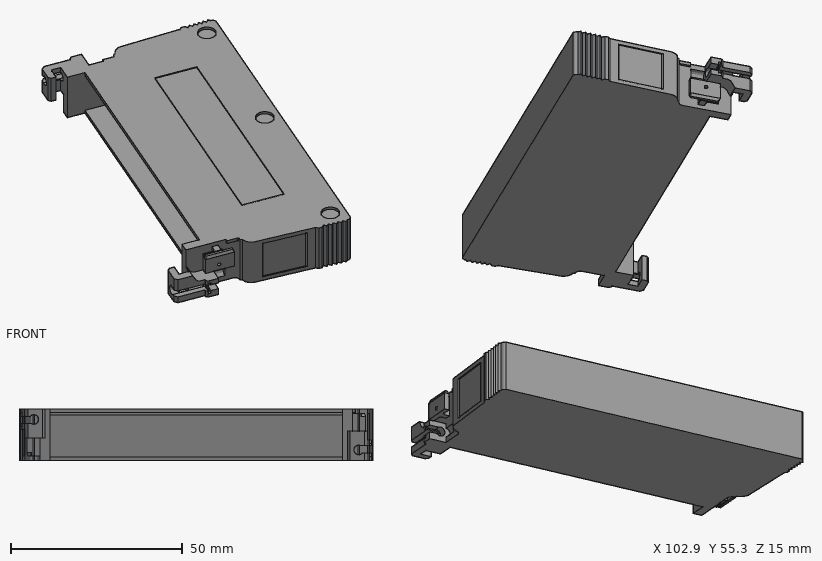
import cadquery as cq
import math

length = 102.9
depth = 55.3
height = 15.0
half_length = length / 2
mid_height = height / 2

corner_start = (-49.9, depth)
corner_mid = (-50.56, 54.8)
corner_end = (-50.8, 54.0)
tooth_count = 5
tooth_pitch = 1.49
tooth_depth = 0.8
tooth_lean = 0.06
first_tip_y = 53.4
grip_end_y = 44.9
flank_top = (-50.5, 44.1)
flank_bottom = (-49.8, 25.7)
shoulder_mid = (-49.2, 23.6)
shoulder_end = (-47.4, 22.3)
neck_radius = 1.5
neck_top_y = 21.7
wall_x = -45.5
lip_x = -46.2
lip_y_range = (17.9, 21.4)
lip_thickness = 1.0

cavity_half_length = 42.6
wall_front_y = 5.2
plate_front_y = 10.8
bottom_thickness = 1.0
top_thickness = 1.1
back_thickness = 1.1
ledge_size = 0.7

label_length = 64.8
label_width = 13.3
label_center = (0, 35.2)
label_recess = 0.3
grip_y_range = (27.6, 41.6)
grip_taper = 0.4
grip_margin = 1.3
grip_recess = 0.4
dome_diameter = 5.5
dome_height = 0.8
dome_y = 50.7
dome_positions_x = (-45.9, -2.8, 45.9)

head_x = -50.9
ear_back_y = 13.3
head_front_y = 10.0
hook_x = -49.9
head_chamfer = 0.6
hook_slot_x = -47.5
hook_tip_x = -43.9
hook_thickness = 2.3
hook_chamfer = 0.9
tip_chamfer = 0.7
head_bottom_z = 9.1
hook_bottom_z = 6.5
slope_front_y = 5.6
slope_angle = math.radians(60)
slope_radius = 1.9

channel_diameter = 2.8
channel_slot_z = (10.7, 12.9)
channel_x = -47.2
channel_z = 11.9
wall_groove_end_y = 17.6
ring_diameter = 3.8
ring_slot_z = (10.1, 13.8)
ring_y_range = (10.1, 10.9)

tab_x_range = (-49.3, -47.8)
tab_y_range = (9.9, 19.0)
tab_z_range = (1.3, 7.4)
tab_root_x = -47.5
arm_y_range = (13.5, 15.4)
arm_fillet = 0.5
tab_chamfer_width = 0.36
tab_chamfer_height = 0.9
tab_hole_diameter = 1.0
tab_hole_y = 14.2
tab_hole_z = 5.3


def box(x_range, y_range, z_range):
    """Axis-aligned box between the given limits."""
    (x0, x1), (y0, y1), (z0, z1) = x_range, y_range, z_range
    return cq.Workplane("XY").box(x1 - x0, y1 - y0, z1 - z0, centered=False).translate((x0, y0, z0))


def both_ends(shape):
    """Join a left-end shape with its copy turned half a turn about the part's long mid-axis in Y."""
    turned = shape.rotate((0, 0, mid_height), (0, 1, mid_height), 180)
    return shape.union(turned)


def mirrored(shape):
    """Join a left-end shape with its mirror image on the right end."""
    return shape.union(shape.mirror("YZ"))


def flank_x(y):
    """Place in X of the slightly tapered left flank at a given Y."""
    taper = (flank_top[0] - flank_bottom[0]) / (flank_top[1] - flank_bottom[1])
    return flank_bottom[0] + taper * (y - flank_bottom[1])


def make_half_hood():
    """Left half of the hood as a solid block."""
    outline = cq.Workplane("XY").moveTo(0, depth).lineTo(*corner_start)
    outline = outline.threePointArc(corner_mid, corner_end).lineTo(-half_length, first_tip_y)
    for i in range(tooth_count):
        tip_x = -half_length + i * tooth_lean
        tip_y = first_tip_y - i * tooth_pitch
        outline = outline.lineTo(tip_x + tooth_depth, tip_y - tooth_pitch / 2)
        outline = outline.lineTo(tip_x + tooth_lean, tip_y - tooth_pitch)
    neck_x = wall_x - neck_radius
    neck_reach = neck_radius * math.sqrt(0.5)
    neck_center_y = neck_top_y - neck_radius
    outline = (
        outline.lineTo(-half_length + tooth_count * tooth_lean, grip_end_y)
        .lineTo(*flank_top)
        .lineTo(*flank_bottom)
        .threePointArc(shoulder_mid, shoulder_end)
        .lineTo(neck_x, neck_top_y)
        .threePointArc((neck_x + neck_reach, neck_center_y + neck_reach), (wall_x, neck_center_y))
        .lineTo(wall_x, wall_front_y)
        .lineTo(-cavity_half_length, wall_front_y)
        .lineTo(-cavity_half_length, plate_front_y)
        .lineTo(0, plate_front_y)
        .close()
    )
    lip = (
        cq.Workplane("XY", origin=(0, 0, height - lip_thickness))
        .moveTo(*shoulder_end)
        .lineTo(lip_x - (shoulder_end[1] - lip_y_range[1]), shoulder_end[1])
        .lineTo(lip_x, lip_y_range[1])
        .lineTo(lip_x, lip_y_range[0])
        .lineTo(-cavity_half_length, lip_y_range[0])
        .lineTo(-cavity_half_length, shoulder_end[1])
        .close()
        .extrude(lip_thickness)
    )
    return outline.extrude(height).union(lip)


def make_cavity():
    """Front-opening cavity with a small ledge where the back wall meets the top plate."""
    back_y = depth - back_thickness
    roof_z = height - top_thickness
    x_range = (-cavity_half_length, cavity_half_length)
    space = box(x_range, (0, back_y), (bottom_thickness, roof_z))
    ledge = box(x_range, (back_y - ledge_size, back_y), (roof_z - ledge_size, roof_z))
    return space.cut(ledge)


def make_label_recess():
    return (
        cq.Workplane("XY", origin=(*label_center, height - label_recess))
        .rect(label_length, label_width)
        .extrude(label_recess)
    )


def make_grip_recess():
    """Side recess with a floor parallel to the flank and two upright ends that slope in to it."""
    y0, y1 = grip_y_range
    floor_y0 = y0 + grip_taper
    floor_y1 = y1 - grip_taper
    outer_x = -half_length
    return (
        cq.Workplane("XY", origin=(0, 0, grip_margin))
        .polyline([
            (outer_x, y0),
            (flank_x(y0), y0),
            (flank_x(floor_y0) + grip_recess, floor_y0),
            (flank_x(floor_y1) + grip_recess, floor_y1),
            (flank_x(y1), y1),
            (outer_x, y1),
        ])
        .close()
        .extrude(height - 2 * grip_margin)
    )


def make_dome_trough(x):
    """Ring-shaped trough that leaves a spherical dome level with the top face."""
    radius = dome_diameter / 2
    sphere_radius = (radius**2 + dome_height**2) / (2 * dome_height)
    pocket = (
        cq.Workplane("XY", origin=(x, dome_y, height - dome_height))
        .circle(radius)
        .extrude(dome_height)
    )
    ball = cq.Workplane("XY").sphere(sphere_radius).translate((x, dome_y, height - sphere_radius))
    return pocket.cut(ball)


def make_open_bore(diameter, slot_z_range, x, y_range):
    """Round bore along Y, joined by a straight slot to the outer side of the left end."""
    y0, y1 = y_range
    bore = cq.Workplane("XZ", origin=(x, y0, channel_z)).circle(diameter / 2).extrude(y0 - y1)
    slot = box((-half_length, x), y_range, slot_z_range)
    return bore.union(slot)


def make_ear():
    """Head block with a hook in front of it, cut to a stepped underside."""
    plan = (
        cq.Workplane("XY")
        .polyline([
            (-cavity_half_length, ear_back_y),
            (head_x, ear_back_y),
            (head_x, head_front_y),
            (head_x + head_chamfer, head_front_y - head_chamfer),
            (hook_x, head_front_y - head_chamfer),
            (hook_x, hook_chamfer),
            (hook_x + hook_chamfer, 0),
            (hook_tip_x - tip_chamfer, 0),
            (hook_tip_x, tip_chamfer),
            (hook_tip_x, hook_thickness),
            (hook_slot_x, hook_thickness),
            (hook_slot_x, wall_front_y),
            (-cavity_half_length, wall_front_y),
        ])
        .close()
        .extrude(height)
    )
    arc_drop = slope_radius * (1 - math.cos(slope_angle))
    arc_front_z = head_bottom_z - arc_drop
    arc_front_y = slope_front_y + (arc_front_z - hook_bottom_z) / math.tan(slope_angle)
    arc_back_y = arc_front_y + slope_radius * math.sin(slope_angle)
    arc_mid_y = arc_back_y - slope_radius * math.sin(slope_angle / 2)
    arc_mid_z = head_bottom_z - slope_radius * (1 - math.cos(slope_angle / 2))
    side = (
        cq.Workplane("YZ", origin=(-half_length, 0, 0))
        .moveTo(0, height)
        .lineTo(0, hook_bottom_z)
        .lineTo(slope_front_y, hook_bottom_z)
        .lineTo(arc_front_y, arc_front_z)
        .threePointArc((arc_mid_y, arc_mid_z), (arc_back_y, head_bottom_z))
        .lineTo(ear_back_y, head_bottom_z)
        .lineTo(ear_back_y, height)
        .close()
        .extrude(half_length - cavity_half_length)
    )
    return plan.intersect(side)


def make_tab():
    """Upright latch tab carried on a short arm from the end wall."""
    x0, x1 = tab_x_range
    y0 = tab_y_range[0]
    z0, z1 = tab_z_range
    arm_y0, arm_y1 = arm_y_range
    plate = box(tab_x_range, tab_y_range, tab_z_range)
    plate = plate.faces("<Z").edges().chamfer(tab_chamfer_height, tab_chamfer_width)
    arm = (
        cq.Workplane("XY", origin=(0, 0, z0))
        .polyline([
            (x1, arm_y1 + arm_fillet),
            (x1 + arm_fillet, arm_y1),
            (wall_x, arm_y1),
            (wall_x, arm_y0),
            (tab_root_x + arm_fillet, arm_y0),
            (tab_root_x, arm_y0 - arm_fillet),
            (tab_root_x, y0),
            (x1, y0),
        ])
        .close()
        .extrude(z1 - z0)
    )
    hole = (
        cq.Workplane("YZ", origin=(x0, tab_hole_y, tab_hole_z))
        .circle(tab_hole_diameter / 2)
        .extrude(x1 - x0)
    )
    return plate.union(arm).cut(hole)


hood = mirrored(make_half_hood()).cut(make_cavity())
hood = hood.cut(make_label_recess()).cut(mirrored(make_grip_recess()))
for dome_x in dome_positions_x:
    hood = hood.cut(make_dome_trough(dome_x))

channel = make_open_bore(channel_diameter, channel_slot_z, channel_x, (0, ear_back_y))
groove_y_range = (ear_back_y, wall_groove_end_y)
wall_groove = make_open_bore(channel_diameter, channel_slot_z, wall_x, groove_y_range)
ring = make_open_bore(ring_diameter, ring_slot_z, channel_x, ring_y_range)

result = hood.union(both_ends(make_ear()))
for cutter in (channel, wall_groove, ring):
    result = result.cut(both_ends(cutter))
result = result.union(both_ends(make_tab()))